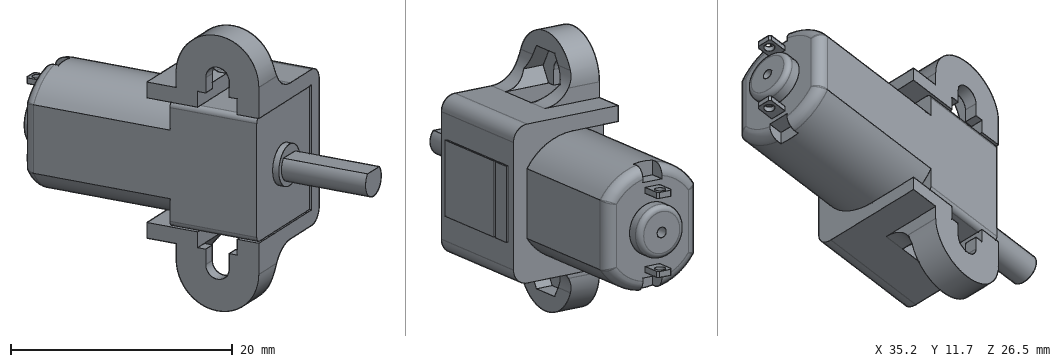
import cadquery as cq
import math


motor_diameter = 12.0
motor_thickness = 10.0
motor_end_radius = 1.05
notch_depth = 1.48
notch_width = 2.08
notch_floor = 4.5

boss_diameter = 5.0
boss_length = 1.48
boss_edge_radius = 0.53
bore_diameter = 1.0

terminal_length = 2.0
terminal_width = 1.6
terminal_thickness = 0.55
terminal_offset = 3.75
terminal_corner = 0.18
terminal_hole_diameter = 1.0
terminal_hole_reach = 1.25

gearbox_start = 15.05
gearbox_end = 24.0
gearbox_edge_radius = 0.53

collar_diameter = 4.0
collar_end = 24.62
shaft_diameter = 3.0
shaft_across_flat = 2.5
shaft_end = 33.25

bracket_start = 12.7
bracket_end = 24.2
bracket_back = 6.5
bracket_wall = 1.5
bracket_edge_radius = 1.48
lug_width = 8.5
lug_thickness = 3.0
lug_fillet = 3.0
total_height = 26.5
lug_slot_width = 2.4
nut_across_flats = 5.0
nut_seat_floor = 1.27
notch_opening = 4.05

strip_height = 0.2
strip_half_length = 3.6
strip_spans = [(13.55, 15.27), (15.52, 23.28)]

front_y = -motor_thickness / 2
motor_radius = motor_diameter / 2
bracket_half_height = motor_radius + bracket_wall
lug_radius = lug_width / 2
lug_x = bracket_end - lug_radius
lug_z = total_height / 2 - lug_radius
lug_back = front_y + lug_thickness
fillet_end = lug_back + lug_fillet


def box(x_span, y_span, z_span):
    """Block between the given limits on each axis."""
    size = [high - low for low, high in (x_span, y_span, z_span)]
    return cq.Workplane("XY").box(*size, centered=False).translate((x_span[0], y_span[0], z_span[0]))


def rod(diameter, start, end):
    """Cylinder on the motor axis."""
    return cq.Workplane("YZ", origin=(start, 0, 0)).circle(diameter / 2).extrude(end - start)


def both_sides(upper):
    """Body together with its mirror image below Z = 0."""
    return upper.union(upper.mirror("XY"))


def motor_can():
    can = rod(motor_diameter, 0, gearbox_start)
    flats = box((0, gearbox_start), (front_y, -front_y), (-motor_radius, motor_radius))
    can = can.intersect(flats).faces("<X").edges().fillet(motor_end_radius)
    half_notch = notch_width / 2
    notch = box((0, notch_depth), (-half_notch, half_notch), (notch_floor, motor_radius))
    return can.cut(both_sides(notch))


def bearing_boss():
    boss = rod(boss_diameter, -boss_length, 0)
    boss = boss.faces("<X").edges().fillet(boss_edge_radius)
    return boss.cut(rod(bore_diameter, -boss_length, 0))


def terminals():
    half_width = terminal_width / 2
    half_thickness = terminal_thickness / 2
    z_span = (terminal_offset - half_thickness, terminal_offset + half_thickness)
    blade = box((-terminal_length, 0), (-half_width, half_width), z_span)
    blade = blade.edges("|Z and <X").chamfer(terminal_corner)
    hole = (
        cq.Workplane("XY", origin=(-terminal_hole_reach, 0, z_span[0]))
        .circle(terminal_hole_diameter / 2)
        .extrude(terminal_thickness)
    )
    return both_sides(blade.cut(hole))


def gearbox():
    body = box((gearbox_start, gearbox_end), (front_y, -front_y), (-motor_radius, motor_radius))
    return body.edges("|X and <Y").fillet(gearbox_edge_radius)


def output_shaft():
    shaft_radius = shaft_diameter / 2
    flat_z = shaft_across_flat - shaft_radius
    shaft = rod(shaft_diameter, gearbox_end, shaft_end)
    above_flat = box((collar_end, shaft_end), (-shaft_radius, shaft_radius), (flat_z, shaft_radius))
    return shaft.cut(above_flat).union(rod(collar_diameter, gearbox_end, collar_end))


def bracket_block():
    block = box(
        (bracket_start, bracket_end),
        (front_y, bracket_back),
        (-bracket_half_height, bracket_half_height),
    )
    return block.edges("|X and >Y").fillet(bracket_edge_radius)


def upper_lug():
    """Rounded ear that blends into the top of the bracket with a concave fillet."""
    side = (
        cq.Workplane("YZ", origin=(bracket_end - lug_width, 0, 0))
        .moveTo(front_y, motor_radius)
        .lineTo(fillet_end, motor_radius)
        .lineTo(fillet_end, bracket_half_height)
        .radiusArc((lug_back, bracket_half_height + lug_fillet), lug_fillet)
        .lineTo(lug_back, total_height / 2)
        .lineTo(front_y, total_height / 2)
        .close()
        .extrude(lug_width)
    )
    outline = (
        cq.Workplane("XZ", origin=(0, fillet_end, 0))
        .moveTo(bracket_end - lug_width, motor_radius)
        .lineTo(bracket_end - lug_width, lug_z)
        .threePointArc((lug_x, total_height / 2), (bracket_end, lug_z))
        .lineTo(bracket_end, motor_radius)
        .close()
        .extrude(fillet_end - front_y)
    )
    return side.intersect(outline)


def upper_lug_cuts():
    """Screw slot, hexagonal nut seat in the back of the lug and cutout in the bracket wall."""
    half_slot = lug_slot_width / 2
    slot = box((lug_x - half_slot, lug_x + half_slot), (front_y, fillet_end), (motor_radius, lug_z))
    slot_end = (
        cq.Workplane("XZ", origin=(lug_x, fillet_end, lug_z))
        .circle(half_slot)
        .extrude(fillet_end - front_y)
    )
    nut_seat = (
        cq.Workplane("XZ", origin=(lug_x, fillet_end, lug_z))
        .polygon(6, nut_across_flats / math.cos(math.pi / 6))
        .extrude(fillet_end - front_y - nut_seat_floor)
    )
    half_opening = notch_opening / 2
    opening = box(
        (lug_x - half_opening, lug_x + half_opening),
        (front_y, fillet_end),
        (motor_radius, bracket_half_height),
    )
    return slot.union(slot_end).union(nut_seat).union(opening)


def bracket():
    body = bracket_block().union(both_sides(upper_lug()))
    body = body.cut(both_sides(upper_lug_cuts()))
    rear_opening = box((bracket_start, gearbox_start), (front_y, 0), (-motor_radius, motor_radius))
    gearbox_bay = box((gearbox_start, bracket_end), (front_y, -front_y), (-motor_radius, motor_radius))
    return body.cut(rear_opening).cut(gearbox_bay)


def back_strips():
    strips = cq.Workplane("XY")
    for span in strip_spans:
        y_span = (bracket_back, bracket_back + strip_height)
        strips = strips.add(box(span, y_span, (-strip_half_length, strip_half_length)))
    return strips.combine()


result = (
    bracket()
    .union(gearbox())
    .union(motor_can())
    .union(bearing_boss())
    .union(terminals())
    .union(output_shaft())
    .union(back_strips())
)